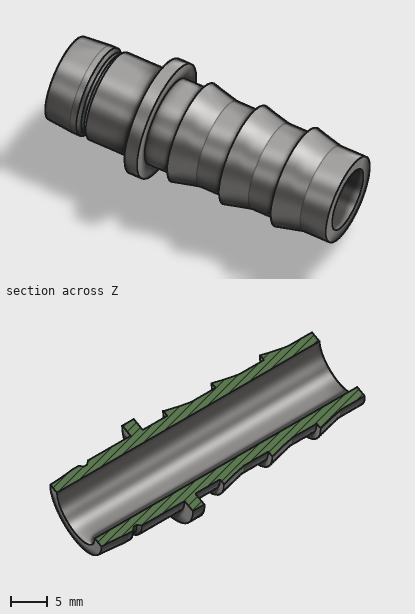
import cadquery as cq

total_length = 43.5
plug_taper_end = 4.0
groove_start = 5.0
groove_end = 6.5
flange_start = 13.55
flange_thickness = 1.95
barb_length = 4.0

barb_count = 3

bore_diameter = 9.0
plug_tip_diameter = 12.3
plug_diameter = 13.0
groove_diameter = 12.0
flange_diameter = 17.0
hose_stem_diameter = 12.7
barb_diameter = 14.6

groove_depth = (plug_diameter - groove_diameter) / 2
groove_floor_start = groove_start + groove_depth
groove_floor_end = groove_end - groove_depth

barb_pitch = 2 * barb_length
first_barb_start = total_length - barb_count * barb_pitch


def revolve_about_x(profile):
    """Revolve a closed (x, radius) outline about the X axis."""
    outline = cq.Workplane("XZ").polyline(profile).close()
    return outline.revolve(360, (0, 0, 0), (1, 0, 0))


def cylinder_along_x(start, length, diameter):
    """Solid cylinder centred on the X axis, beginning at the given station."""
    return cq.Workplane("YZ", origin=(start, 0, 0)).circle(diameter / 2).extrude(length)


def make_plug():
    """Plug end with a tapered nose and a seal groove with sloped walls."""
    return revolve_about_x([
        (0, 0),
        (0, plug_tip_diameter / 2),
        (plug_taper_end, plug_diameter / 2),
        (groove_start, plug_diameter / 2),
        (groove_floor_start, groove_diameter / 2),
        (groove_floor_end, groove_diameter / 2),
        (groove_end, plug_diameter / 2),
        (flange_start, plug_diameter / 2),
        (flange_start, 0),
    ])


def make_barb(start):
    """Ring with a square shoulder, tapering down to the hose stem."""
    end = start + barb_length
    return revolve_about_x([
        (start, 0),
        (start, barb_diameter / 2),
        (end, hose_stem_diameter / 2),
        (end, 0),
    ])


flange = cylinder_along_x(flange_start, flange_thickness, flange_diameter)
hose_stem = cylinder_along_x(flange_start, total_length - flange_start, hose_stem_diameter)
bore = cylinder_along_x(0, total_length, bore_diameter)

body = make_plug().union(flange).union(hose_stem)
for index in range(barb_count):
    body = body.union(make_barb(first_barb_start + index * barb_pitch))

result = body.cut(bore)